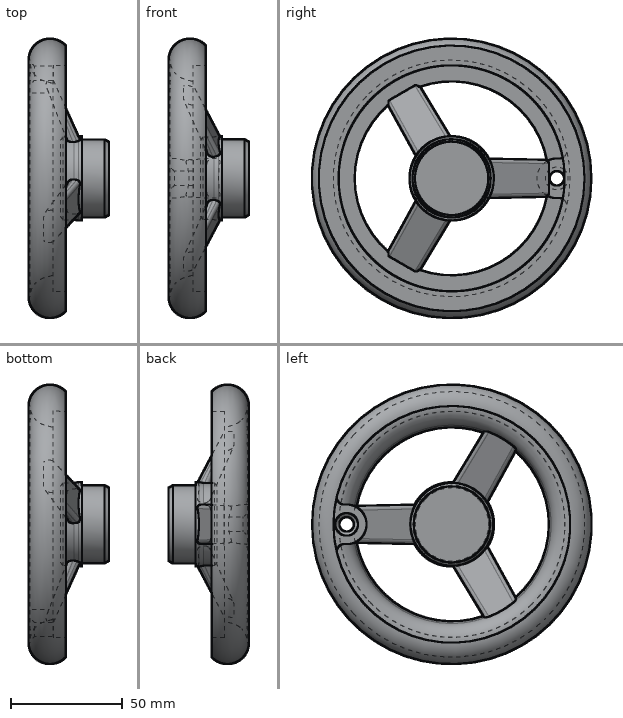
import cadquery as cq
import math


wheel_radius = 62.5
rim_section_radius = 9.6
rim_width = 16.7
rim_ring_radius = wheel_radius - rim_section_radius
step_depth = 0.7
bore_lip_radius = 43.2
back_recess_radius = 50.5
bore_cone_angle = 16.0

hub_front = 14.2
hub_back = 36.0
hub_radius = 17.5
neck_radius = 18.5
front_chamfer_length = 1.2
front_face_radius = 17.0
collar_radius = 18.9
collar_front = 22.4
collar_back = 23.9
neck_flare_length = 2.0
back_chamfer_length = 2.0
back_chamfer_height = 1.1

spoke_count = 3
spoke_inner_radius = 11.2
spoke_outer_radius = 47.5
spoke_half_width_inner = 9.7
spoke_half_width_outer = 8.5
spoke_back_at_collar = 22.4
spoke_slope = 0.45
spoke_inner_thickness = 6.2
spoke_outer_thickness = 4.0
spoke_draft = 2.0
spoke_front_round = 2.0
spoke_back_round = 1.7

boss_radius = 8.9
boss_center = 47.0
boss_back = 11.2
boss_blend_radius = 3.2
hole_diameter = 6.4
countersink_diameter = 10.1
countersink_angle = 90


def revolve_about_x(profile):
    """Turn a profile drawn as (x, radius) about the wheel axis."""
    return profile.close().revolve(360, (0, 0, 0), (1, 0, 0))


def make_rim():
    """Round rim with a flat back, a small step at the front, a recessed bore lip and a conical bore."""
    half_chord = math.sqrt(rim_section_radius**2 - (rim_width - rim_section_radius) ** 2)
    inner_section_radius = rim_section_radius - step_depth

    def inner_point(angle):
        """Point on the inner section, with the angle measured from straight inwards."""
        turn = math.radians(angle)
        return (
            rim_section_radius - inner_section_radius * math.sin(turn),
            rim_ring_radius - inner_section_radius * math.cos(turn),
        )

    cone_x, cone_radius = inner_point(bore_cone_angle)
    bore_lip_x = cone_x + (cone_radius - bore_lip_radius) / math.tan(math.radians(bore_cone_angle))
    profile = (
        cq.Workplane("XY")
        .moveTo(0, rim_ring_radius)
        .threePointArc((rim_section_radius, wheel_radius), (rim_width, rim_ring_radius + half_chord))
        .lineTo(rim_width, back_recess_radius)
        .lineTo(bore_lip_x, back_recess_radius)
        .lineTo(bore_lip_x, bore_lip_radius)
        .lineTo(cone_x, cone_radius)
        .threePointArc(inner_point((90 + bore_cone_angle) / 2), inner_point(90))
    )
    return revolve_about_x(profile)


def make_hub():
    """Stepped hub with a chamfered front, a slightly flared neck and a collar."""
    profile = (
        cq.Workplane("XY")
        .moveTo(hub_front, 0)
        .lineTo(hub_front, front_face_radius)
        .lineTo(hub_front + front_chamfer_length, neck_radius)
        .lineTo(collar_front - neck_flare_length, neck_radius)
        .lineTo(collar_front, collar_radius)
        .lineTo(collar_back, collar_radius)
        .lineTo(collar_back, hub_radius)
        .lineTo(hub_back - back_chamfer_length, hub_radius)
        .lineTo(hub_back, hub_radius - back_chamfer_height)
        .lineTo(hub_back, 0)
    )
    return revolve_about_x(profile)


def make_spoke():
    """Tapered spoke along +Y, leaning forward towards the rim, with rounded long edges."""

    def back_at(radius):
        return spoke_back_at_collar - spoke_slope * (radius - collar_radius)

    inner_back = back_at(spoke_inner_radius)
    outer_back = back_at(spoke_outer_radius)
    side = (
        cq.Workplane("XY")
        .moveTo(inner_back, spoke_inner_radius)
        .lineTo(outer_back, spoke_outer_radius)
        .lineTo(outer_back - spoke_outer_thickness, spoke_outer_radius)
        .lineTo(inner_back - spoke_inner_thickness, spoke_inner_radius)
        .close()
        .extrude(spoke_half_width_inner, both=True)
    )
    taper = (
        cq.Workplane("YZ")
        .moveTo(spoke_inner_radius, spoke_half_width_inner)
        .lineTo(spoke_outer_radius, spoke_half_width_outer)
        .lineTo(spoke_outer_radius, -spoke_half_width_outer)
        .lineTo(spoke_inner_radius, -spoke_half_width_inner)
        .close()
        .extrude(hub_back, taper=spoke_draft)
    )
    blank = side.intersect(taper)
    thinning = (spoke_inner_thickness - spoke_outer_thickness) / (spoke_outer_radius - spoke_inner_radius)
    front_normal = cq.Vector(-1, thinning - spoke_slope, 0)
    back_normal = cq.Vector(1, spoke_slope, 0)
    front_edges = blank.faces(cq.DirectionSelector(front_normal)).edges("<Z or >Z")
    front_rounded = front_edges.fillet(spoke_front_round)
    back_edges = front_rounded.faces(cq.DirectionSelector(back_normal)).edges("<Z or >Z")
    return back_edges.fillet(spoke_back_round)


def make_boss():
    """Round boss blended on both sides into the ring at the step of the rim."""
    blend_ring = rim_ring_radius - boss_blend_radius
    blend_reach = boss_radius + boss_blend_radius
    blend_y = (blend_ring**2 + boss_center**2 - blend_reach**2) / (2 * boss_center)
    blend_z = math.sqrt(blend_ring**2 - blend_y**2)
    ring_y = blend_y * rim_ring_radius / blend_ring
    ring_z = blend_z * rim_ring_radius / blend_ring
    boss_y = boss_center + (blend_y - boss_center) * boss_radius / blend_reach
    boss_z = blend_z * boss_radius / blend_reach
    mid_y = (ring_y + boss_y) / 2 - blend_y
    mid_z = (ring_z + boss_z) / 2 - blend_z
    to_arc = boss_blend_radius / math.hypot(mid_y, mid_z)
    arc_y = blend_y + mid_y * to_arc
    arc_z = blend_z + mid_z * to_arc
    return (
        cq.Workplane("YZ")
        .workplane(offset=step_depth)
        .moveTo(ring_y, ring_z)
        .threePointArc((arc_y, arc_z), (boss_y, boss_z))
        .threePointArc((boss_center - boss_radius, 0), (boss_y, -boss_z))
        .threePointArc((arc_y, -arc_z), (ring_y, -ring_z))
        .threePointArc((rim_ring_radius, 0), (ring_y, ring_z))
        .close()
        .extrude(boss_back - step_depth)
    )


def cut_handle_hole(body):
    """Through hole in the boss, countersunk at its front face."""
    return (
        body.copyWorkplane(cq.Workplane("YZ", origin=(step_depth, boss_center, 0)))
        .transformed(rotate=(0, 180, 0))
        .cskHole(hole_diameter, countersink_diameter, countersink_angle)
    )


wheel = make_rim().union(make_hub())
spoke = make_spoke()
for index in range(spoke_count):
    wheel = wheel.union(spoke.rotate((0, 0, 0), (1, 0, 0), index * 360 / spoke_count))
wheel = wheel.union(make_boss())
result = cut_handle_hole(wheel)